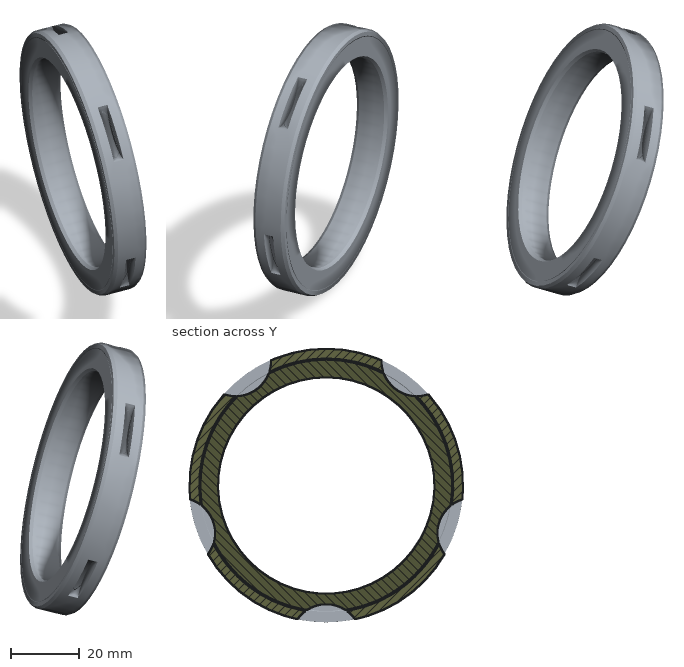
import cadquery as cq

outer_radius = 40.0
bore_radius = 31.5
width = 10.0
half_width = width / 2

chamfer_radial = 0.6
chamfer_axial = 1.0

inner_crest_radius = 38.0
joint_gap = 0.2
tooth_depth = 2.3
crest_flat = 0.3
valley_offset = half_width / 2

slot_count = 5
slot_width = 3.0
slot_floor_radius = 10.2
slot_axis_radius = 45.0
first_slot_angle = 36.0


def joint_line(crest_radius):
    """Zigzag joint points (radius, y) from the -Y face to the +Y face."""
    valley_radius = crest_radius - tooth_depth
    return [
        (crest_radius, -half_width),
        (valley_radius, -valley_offset),
        (crest_radius, -crest_flat / 2),
        (crest_radius, crest_flat / 2),
        (valley_radius, valley_offset),
        (crest_radius, half_width),
    ]


def revolve_about_y(profile):
    """Turn a closed (radius, y) profile, drawn in the +Z half-plane, about the Y axis."""
    points = [(y, radius) for radius, y in profile]
    return cq.Workplane("YZ").polyline(points).close().revolve(360, (0, 0), (1, 0))


def slot_cutters():
    """Short cylinders parallel to Y, spaced evenly around the rim."""
    cutter = (
        cq.Workplane("XZ")
        .center(0, slot_axis_radius)
        .circle(slot_floor_radius)
        .extrude(slot_width / 2, both=True)
    )
    pitch = 360 / slot_count
    return [
        cutter.rotate((0, 0, 0), (0, 1, 0), first_slot_angle + index * pitch)
        for index in range(slot_count)
    ]


def cut_slots(ring):
    for cutter in slot_cutters():
        ring = ring.cut(cutter)
    return ring


def make_outer_ring():
    rim_edge_radius = outer_radius - chamfer_radial
    rim_half_width = half_width - chamfer_axial
    rim = [
        (rim_edge_radius, half_width),
        (outer_radius, rim_half_width),
        (outer_radius, -rim_half_width),
        (rim_edge_radius, -half_width),
    ]
    return cut_slots(revolve_about_y(joint_line(inner_crest_radius + joint_gap) + rim))


def make_inner_ring():
    bore_edge_radius = bore_radius + chamfer_radial
    bore_half_width = half_width - chamfer_axial
    bore = [
        (bore_edge_radius, half_width),
        (bore_radius, bore_half_width),
        (bore_radius, -bore_half_width),
        (bore_edge_radius, -half_width),
    ]
    return cut_slots(revolve_about_y(joint_line(inner_crest_radius) + bore))


outer_ring = make_outer_ring()
inner_ring = make_inner_ring()

result = cq.Compound.makeCompound([outer_ring.val(), inner_ring.val()])